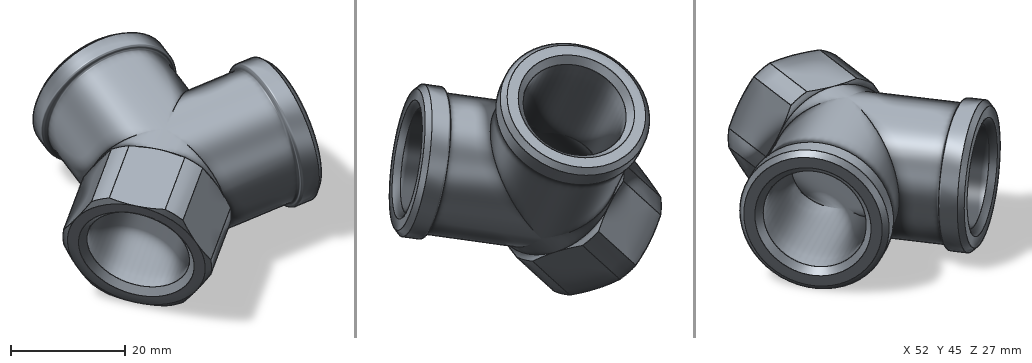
import cadquery as cq
import math

overall_width = 52.0
tube_radius = 25.0 / 2
bore_radius = 9.3
mouth_chamfer = 1.2
arm_angle = 45
inlet_angle = 180

collar_radius = 27.0 / 2
collar_step = collar_radius - tube_radius
collar_chamfer = collar_step
shoulder_radius = collar_step / 2
collar_length = 5.0
arm_length = (
    overall_width / 2 / math.sin(math.radians(arm_angle)) - collar_radius + collar_chamfer
)

inlet_length = 19.0
hex_length = 14.0
hex_across_flats = 2 * tube_radius
hex_corner_radius = collar_radius
hex_chamfer_angle = 30


def spin(profile):
    """Turn a closed (radius, distance) profile into a solid about the Y axis."""
    return profile.close().revolve(360, (0, 0), (0, 1))


def place(branch, angle):
    return branch.rotate((0, 0, 0), (0, 0, 1), angle)


def arm_body():
    shoulder_start = arm_length - collar_length
    shoulder_middle = shoulder_start + shoulder_radius
    shoulder_end = shoulder_middle + shoulder_radius
    return spin(
        cq.Workplane("XY")
        .lineTo(tube_radius, 0)
        .lineTo(tube_radius, shoulder_start)
        .tangentArcPoint((tube_radius + shoulder_radius, shoulder_middle), relative=False)
        .tangentArcPoint((collar_radius, shoulder_end), relative=False)
        .lineTo(collar_radius, arm_length - collar_chamfer)
        .lineTo(collar_radius - collar_chamfer, arm_length)
        .lineTo(0, arm_length)
    )


def hex_socket():
    """Hexagon with flats facing +Z and -Z, its corners rounded and chamfered at both ends."""
    start = inlet_length - hex_length
    flat_radius = hex_across_flats / 2
    chamfer_length = (hex_corner_radius - flat_radius) * math.tan(math.radians(hex_chamfer_angle))
    prism = (
        cq.Workplane("XZ", origin=(0, start, 0))
        .polygon(6, hex_across_flats / math.cos(math.pi / 6))
        .extrude(-hex_length)
    )
    envelope = spin(
        cq.Workplane("XY")
        .moveTo(0, start)
        .lineTo(flat_radius, start)
        .lineTo(hex_corner_radius, start + chamfer_length)
        .lineTo(hex_corner_radius, inlet_length - chamfer_length)
        .lineTo(flat_radius, inlet_length)
        .lineTo(0, inlet_length)
    )
    return prism.intersect(envelope)


def inlet_body():
    tube = cq.Workplane("XZ").circle(tube_radius).extrude(-inlet_length / 2)
    return tube.union(hex_socket())


def bore(length):
    """Bore from the origin to a mouth widened by a 45 degree chamfer."""
    return spin(
        cq.Workplane("XY")
        .lineTo(bore_radius, 0)
        .lineTo(bore_radius, length - mouth_chamfer)
        .lineTo(bore_radius + mouth_chamfer, length)
        .lineTo(0, length)
    )


result = place(inlet_body(), inlet_angle)
for angle in (-arm_angle, arm_angle):
    result = result.union(place(arm_body(), angle))

result = result.cut(place(bore(inlet_length), inlet_angle))
for angle in (-arm_angle, arm_angle):
    result = result.cut(place(bore(arm_length), angle))